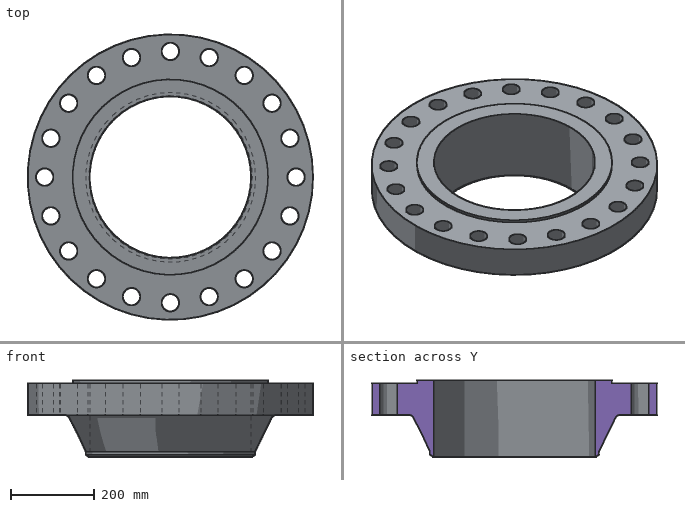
import cadquery as cq
import math

flange_diameter = 686.0
total_height = 184.5
flange_thickness = 77.0
bore_diameter = 387.0

face_diameter = 469.0
face_height = 7.0

bolt_count = 20
bolt_circle_diameter = 603.5
bolt_hole_diameter = 41.0

neck_base_diameter = 493.0
lip_diameter = 407.5
lip_height = 13.0
bevel_height = 5.5
bevel_width = 7.5
neck_fillet_radius = 14.0

flange_top = total_height - face_height
flange_bottom = flange_top - flange_thickness


def make_body():
    """Revolve the neck, flange and raised face about the Z axis."""
    bore_radius = bore_diameter / 2
    flange_radius = flange_diameter / 2
    face_radius = face_diameter / 2
    neck_radius = neck_base_diameter / 2
    lip_radius = lip_diameter / 2

    neck_angle = math.atan2(flange_bottom - lip_height, neck_radius - lip_radius)
    tangent_length = neck_fillet_radius * math.tan(neck_angle / 2)
    fillet_center = (neck_radius + tangent_length, flange_bottom - neck_fillet_radius)
    fillet_start = (
        neck_radius - tangent_length * math.cos(neck_angle),
        flange_bottom - tangent_length * math.sin(neck_angle),
    )
    fillet_middle = (
        fillet_center[0] - neck_fillet_radius * math.sin(neck_angle / 2),
        fillet_center[1] + neck_fillet_radius * math.cos(neck_angle / 2),
    )
    fillet_end = (fillet_center[0], flange_bottom)

    profile = (
        cq.Workplane("XZ")
        .moveTo(bore_radius, 0)
        .lineTo(lip_radius - bevel_width, 0)
        .lineTo(lip_radius, bevel_height)
        .lineTo(lip_radius, lip_height)
        .lineTo(*fillet_start)
        .threePointArc(fillet_middle, fillet_end)
        .lineTo(flange_radius, flange_bottom)
        .lineTo(flange_radius, flange_top)
        .lineTo(face_radius, flange_top)
        .lineTo(face_radius, total_height)
        .lineTo(bore_radius, total_height)
        .close()
    )
    return profile.revolve(360, (0, 0, 0), (0, 1, 0))


def make_bolt_holes():
    """Cylinders through the flange, evenly spaced on the bolt circle."""
    return (
        cq.Workplane("XY", origin=(0, 0, flange_bottom))
        .polarArray(bolt_circle_diameter / 2, 0, 360, bolt_count)
        .circle(bolt_hole_diameter / 2)
        .extrude(flange_thickness)
    )


result = make_body().cut(make_bolt_holes())